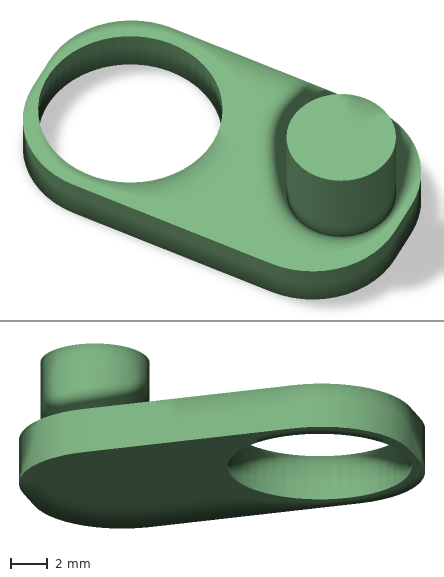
import cadquery as cq

plate_length = 22.0
plate_width = 12.0
plate_thickness = 2.5
corner_radius = 5.0

hole_diameter = 10.0
hole_from_left = 5.43

peg_diameter = 5.95
peg_height = 5.0
peg_from_left = 18.24


def make_plate():
    """Flat plate with rounded corners, resting on Z = 0 with its -X end at X = 0."""
    return (
        cq.Workplane("XY")
        .box(plate_length, plate_width, plate_thickness, centered=(False, True, False))
        .edges("|Z")
        .fillet(corner_radius)
    )


def make_cylinder(center_x, diameter, height):
    """Upright cylinder on the plate's centre line, starting at Z = 0."""
    return cq.Workplane("XY").center(center_x, 0).circle(diameter / 2).extrude(height)


hole = make_cylinder(hole_from_left, hole_diameter, plate_thickness)
peg = make_cylinder(peg_from_left, peg_diameter, plate_thickness + peg_height)

result = make_plate().cut(hole).union(peg)